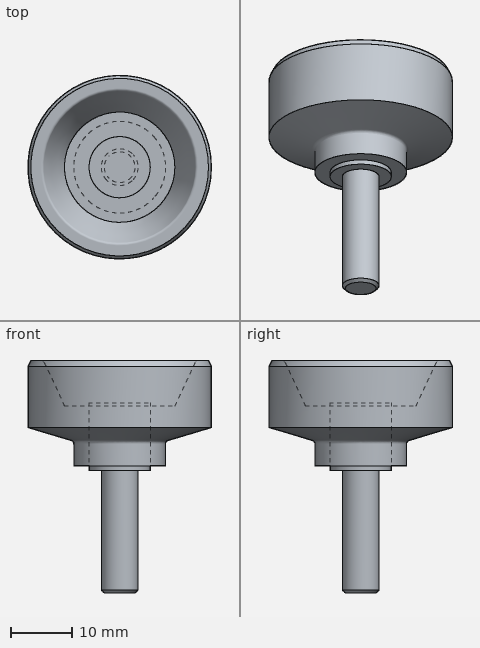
import cadquery as cq

total_height = 38.0
knob_diameter = 30.0

rim_bevel_height = 1.0
rim_bevel_width = 0.5
underside_depth = 11.0
underside_drop = 2.25
neck_diameter = knob_diameter / 2
neck_bottom_depth = 17.25
neck_fillet = 0.5

bowl_mouth_diameter = 25.0
bowl_floor_diameter = 18.0
bowl_depth = 7.5
mouth_fillet = 0.5

head_diameter = 10.0
head_proud = 0.5
collar_height = 0.75
shank_diameter = 6.0
tip_chamfer = 0.5

knob_radius = knob_diameter / 2
neck_radius = neck_diameter / 2
grip_bottom = total_height - underside_depth
neck_top = grip_bottom - underside_drop
neck_bottom = total_height - neck_bottom_depth
bowl_floor = total_height - bowl_depth
head_top = bowl_floor + head_proud
head_bottom = neck_bottom - collar_height
selection_margin = 0.05


def edge_box(radius, height):
    """Selector for the circular edge of the given radius centred at the given height."""
    reach = radius + selection_margin
    return cq.selectors.BoxSelector(
        (-reach, -reach, height - selection_margin),
        (reach, reach, height + selection_margin),
        boundingbox=True,
    )


def make_exterior():
    """Revolved grip, conical underside and neck."""
    profile = (
        cq.Workplane("XZ")
        .moveTo(0, neck_bottom)
        .lineTo(neck_radius, neck_bottom)
        .lineTo(neck_radius, neck_top)
        .lineTo(knob_radius, grip_bottom)
        .lineTo(knob_radius, total_height - rim_bevel_height)
        .lineTo(knob_radius - rim_bevel_width, total_height)
        .lineTo(0, total_height)
        .close()
    )
    exterior = profile.revolve(360, (0, 0, 0), (0, 1, 0))
    return exterior.edges(edge_box(neck_radius, neck_top)).fillet(neck_fillet)


def make_bowl():
    """Tapered space inside the rim."""
    return (
        cq.Workplane("XY", origin=(0, 0, bowl_floor))
        .circle(bowl_floor_diameter / 2)
        .workplane(offset=bowl_depth)
        .circle(bowl_mouth_diameter / 2)
        .loft(ruled=True)
    )


def make_head():
    """Cylindrical stud head, also the shape of its hole in the knob."""
    return (
        cq.Workplane("XY", origin=(0, 0, head_bottom))
        .circle(head_diameter / 2)
        .extrude(head_top - head_bottom)
    )


def make_knob():
    """Knob with a filleted bowl and a through hole for the stud head."""
    knob = make_exterior().cut(make_bowl())
    knob = knob.edges(edge_box(bowl_mouth_diameter / 2, total_height)).fillet(mouth_fillet)
    return knob.cut(make_head())


def make_stud():
    """Stud head with a plain shank chamfered at the tip."""
    shank = (
        cq.Workplane("XY")
        .circle(shank_diameter / 2)
        .extrude(head_bottom)
        .faces("<Z")
        .chamfer(tip_chamfer)
    )
    return make_head().union(shank)


knob = make_knob()
stud = make_stud()

result = cq.Compound.makeCompound([knob.val(), stud.val()])